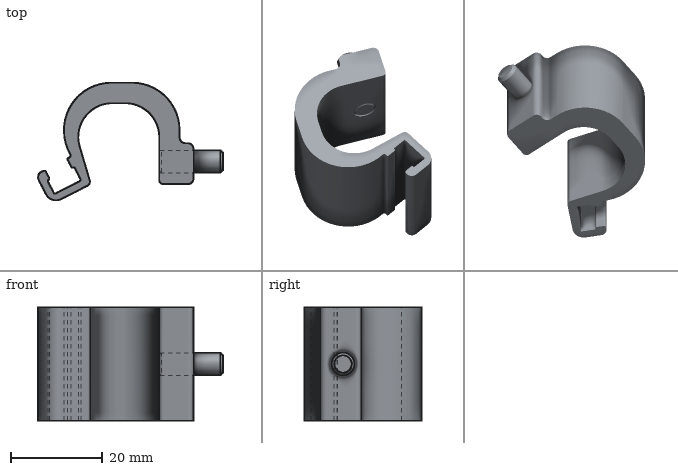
import cadquery as cq
import math

WIDTH = 25.0

BLOCK_THICKNESS = 7.55
BLOCK_BOTTOM = -5.0
BLOCK_TOP = 4.02
BLOCK_OUTER_RADIUS = 1.25
BLOCK_INNER_RADIUS = 0.9
BLOCK_NECK_RADIUS = 1.25

OUTER_RADIUS = 10.5
OUTER_RIGHT_X = -3.05
OUTER_LEFT_X = -28.47
OUTER_CENTER_Y = 6.82
INNER_RADIUS = 7.4
INNER_RIGHT_X = -BLOCK_THICKNESS
INNER_LEFT_X = -25.25
INNER_CENTER_Y = 5.35

LATCH_CORNER = (-31.28, -9.42)
LATCH_ANGLE = 27
LATCH_BASE = 9.85
LATCH_WALL = 1.7
LATCH_RIGHT_WALL = 8.25
LIP_BOTTOM = 5.05
LIP_TOP = 7.35
LIP_DEPTH = 0.55
LATCH_OUTER_RADIUS = 2.5
LATCH_HEEL_RADIUS = 1.0
TIP_OUTER_RADIUS = 1.4
TIP_INNER_RADIUS = 0.5
SMALL_RADIUS = 0.25
ARM_ROOT_RADIUS = 0.5

PIN_DIAMETER = 5.0
PIN_PROJECTION = 6.45
PIN_CHAMFER = 0.6
PIN_INNER_CHAMFER = 0.5


def latch_point(across, up):
    """Point of the tilted latch channel in part coordinates."""
    angle = math.radians(LATCH_ANGLE)
    x = LATCH_CORNER[0] + across * math.cos(angle) - up * math.sin(angle)
    y = LATCH_CORNER[1] + across * math.sin(angle) + up * math.cos(angle)
    return x, y


def circle_point(center, radius, degrees):
    angle = math.radians(degrees)
    return center[0] + radius * math.cos(angle), center[1] + radius * math.sin(angle)


def arm_root_on_outer_arc(center):
    """Point where the line of the lip tops meets the left outer arc."""
    angle = math.radians(LATCH_ANGLE)
    line_start = latch_point(0, LIP_TOP)
    dx = center[0] - line_start[0]
    dy = center[1] - line_start[1]
    along = dx * math.cos(angle) + dy * math.sin(angle)
    distance = dy * math.cos(angle) - dx * math.sin(angle)
    across = along - math.sqrt(OUTER_RADIUS**2 - distance**2)
    return latch_point(across, LIP_TOP)


def tangent_degrees(center, radius, point):
    """Angle on the left of a circle where the tangent from a point below touches it."""
    dx = point[0] - center[0]
    dy = point[1] - center[1]
    swing = math.acos(radius / math.hypot(dx, dy))
    return math.degrees(math.atan2(dy, dx) - swing)


def round_corner(body, point, radius):
    """Round the full-width edge that runs through a corner of the outline."""
    return body.edges("|Z").edges(cq.NearestToPointSelector((*point, 0))).fillet(radius)


def make_clip():
    outer_right = (OUTER_RIGHT_X - OUTER_RADIUS, OUTER_CENTER_Y)
    outer_left = (OUTER_LEFT_X + OUTER_RADIUS, OUTER_CENTER_Y)
    inner_right = (INNER_RIGHT_X - INNER_RADIUS, INNER_CENTER_Y)
    inner_left = (INNER_LEFT_X + INNER_RADIUS, INNER_CENTER_Y)

    block_inner = (-BLOCK_THICKNESS, BLOCK_BOTTOM)
    block_outer = (0, BLOCK_BOTTOM)
    block_shoulder = (0, BLOCK_TOP)
    block_neck = (OUTER_RIGHT_X, BLOCK_TOP)

    arm_root = arm_root_on_outer_arc(outer_left)
    tooth_edge = LATCH_RIGHT_WALL - LIP_DEPTH
    lip_edge = LATCH_WALL + LIP_DEPTH
    tooth_top = latch_point(tooth_edge, LIP_TOP)
    tooth_bottom = latch_point(tooth_edge, LIP_BOTTOM)
    tooth_root = latch_point(LATCH_RIGHT_WALL, LIP_BOTTOM)
    channel_right = latch_point(LATCH_RIGHT_WALL, LATCH_WALL)
    channel_left = latch_point(LATCH_WALL, LATCH_WALL)
    lip_root = latch_point(LATCH_WALL, LIP_BOTTOM)
    lip_bottom = latch_point(lip_edge, LIP_BOTTOM)
    tip_inner = latch_point(lip_edge, LIP_TOP)
    tip_outer = latch_point(0, LIP_TOP)
    heel = latch_point(LATCH_BASE, 0)

    touch = tangent_degrees(inner_left, INNER_RADIUS, heel) % 360
    touch_point = circle_point(inner_left, INNER_RADIUS, touch)
    inner_left_middle = circle_point(inner_left, INNER_RADIUS, (touch + 90) / 2)

    clip = (
        cq.Workplane("XY", origin=(0, 0, -WIDTH / 2))
        .moveTo(*block_inner)
        .lineTo(*block_outer)
        .lineTo(*block_shoulder)
        .lineTo(*block_neck)
        .lineTo(OUTER_RIGHT_X, OUTER_CENTER_Y)
        .threePointArc(
            circle_point(outer_right, OUTER_RADIUS, 45),
            circle_point(outer_right, OUTER_RADIUS, 90),
        )
        .lineTo(*circle_point(outer_left, OUTER_RADIUS, 90))
        .threePointArc(circle_point(outer_left, OUTER_RADIUS, 180), arm_root)
        .lineTo(*tooth_top)
        .lineTo(*tooth_bottom)
        .lineTo(*tooth_root)
        .lineTo(*channel_right)
        .lineTo(*channel_left)
        .lineTo(*lip_root)
        .lineTo(*lip_bottom)
        .lineTo(*tip_inner)
        .lineTo(*tip_outer)
        .lineTo(*LATCH_CORNER)
        .lineTo(*heel)
        .lineTo(*touch_point)
        .threePointArc(inner_left_middle, circle_point(inner_left, INNER_RADIUS, 90))
        .lineTo(*circle_point(inner_right, INNER_RADIUS, 90))
        .threePointArc(
            circle_point(inner_right, INNER_RADIUS, 45),
            circle_point(inner_right, INNER_RADIUS, 0),
        )
        .close()
        .extrude(WIDTH)
    )

    rounded_corners = [
        (block_inner, BLOCK_INNER_RADIUS),
        (block_outer, BLOCK_OUTER_RADIUS),
        (block_shoulder, BLOCK_OUTER_RADIUS),
        (block_neck, BLOCK_NECK_RADIUS),
        (LATCH_CORNER, LATCH_OUTER_RADIUS),
        (heel, LATCH_HEEL_RADIUS),
        (tip_outer, TIP_OUTER_RADIUS),
        (tip_inner, TIP_INNER_RADIUS),
        (arm_root, ARM_ROOT_RADIUS),
    ]
    small_corners = [tooth_top, tooth_bottom, tooth_root]
    small_corners += [channel_right, channel_left, lip_root, lip_bottom]
    rounded_corners += [(corner, SMALL_RADIUS) for corner in small_corners]
    for corner, radius in rounded_corners:
        clip = round_corner(clip, corner, radius)

    pin_hole = (
        cq.Workplane("YZ", origin=(-BLOCK_THICKNESS, 0, 0))
        .circle(PIN_DIAMETER / 2)
        .extrude(BLOCK_THICKNESS)
    )
    return clip.cut(pin_hole)


def make_pin():
    """Pin through the whole block, flush with its inner face, chamfered at both ends."""
    return (
        cq.Workplane("YZ", origin=(-BLOCK_THICKNESS, 0, 0))
        .circle(PIN_DIAMETER / 2)
        .extrude(BLOCK_THICKNESS + PIN_PROJECTION)
        .faces(">X")
        .chamfer(PIN_CHAMFER)
        .faces("<X")
        .chamfer(PIN_INNER_CHAMFER)
    )


clip = make_clip()
pin = make_pin()
result = cq.Compound.makeCompound([clip.val(), pin.val()])